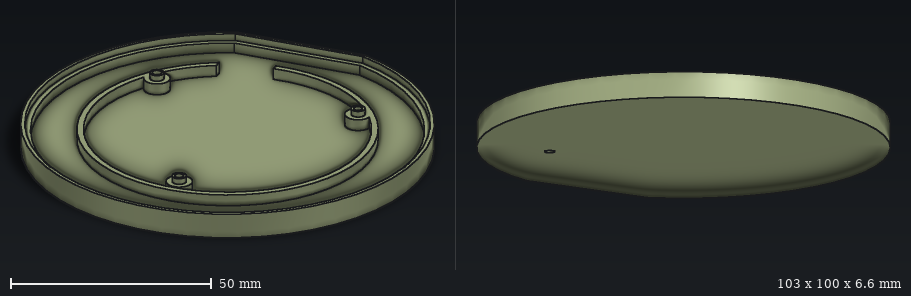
import cadquery as cq
import math

outer_radius = 51.5
flat_distance = 48.5
tray_height = 6.6
floor_thickness = 2.1

lip_width = 1.0
rim_width = 2.5
lip_depth = 1.9

ring_outer_radius = 37.5
ring_width = 1.6
ring_height = 3.0
gap_left = -16.0
gap_right = -2.2

post_diameter = 6.6
post_height = ring_height
pin_diameter = 3.5
pin_height = 1.5
through_bore_diameter = 2.5
blind_bore_diameter = 2.2
upper_post_x = 27.0
upper_post_y = 19.9
lower_post_y = -32.0
through_post = (-upper_post_x, upper_post_y)
blind_posts = [(upper_post_x, upper_post_y), (0, lower_post_y)]

ring_top = floor_thickness + ring_height
pin_top = floor_thickness + post_height + pin_height


def flatted_disc(inset, bottom, top):
    """Disc with one flat, its outline moved inwards by inset."""
    radius = outer_radius - inset
    flat_y = flat_distance - inset
    half_flat = math.sqrt(radius**2 - flat_y**2)
    return (
        cq.Workplane("XY", origin=(0, 0, bottom))
        .moveTo(half_flat, flat_y)
        .threePointArc((0, -radius), (-half_flat, flat_y))
        .close()
        .extrude(top - bottom)
    )


def cylinder(center, diameter, bottom, top):
    return (
        cq.Workplane("XY", origin=(*center, bottom))
        .circle(diameter / 2)
        .extrude(top - bottom)
    )


def tray():
    step_z = tray_height - lip_depth
    body = flatted_disc(0, 0, tray_height)
    body = body.cut(flatted_disc(rim_width, floor_thickness, tray_height))
    return body.cut(flatted_disc(lip_width, step_z, tray_height))


def open_ring():
    """Ring with a straight-sided gap through its +Y stretch."""
    ring = (
        cq.Workplane("XY")
        .circle(ring_outer_radius)
        .circle(ring_outer_radius - ring_width)
        .extrude(ring_top)
    )
    gap = cq.Workplane("XY").box(
        gap_right - gap_left, ring_outer_radius, ring_top, centered=False
    )
    return ring.cut(gap.translate((gap_left, ring_outer_radius / 2, 0)))


def post(center):
    base = cylinder(center, post_diameter, 0, floor_thickness + post_height)
    return base.union(cylinder(center, pin_diameter, 0, pin_top))


result = tray().union(open_ring())
for center in [through_post, *blind_posts]:
    result = result.union(post(center))

result = result.cut(cylinder(through_post, through_bore_diameter, 0, pin_top))
for center in blind_posts:
    result = result.cut(cylinder(center, blind_bore_diameter, floor_thickness, pin_top))